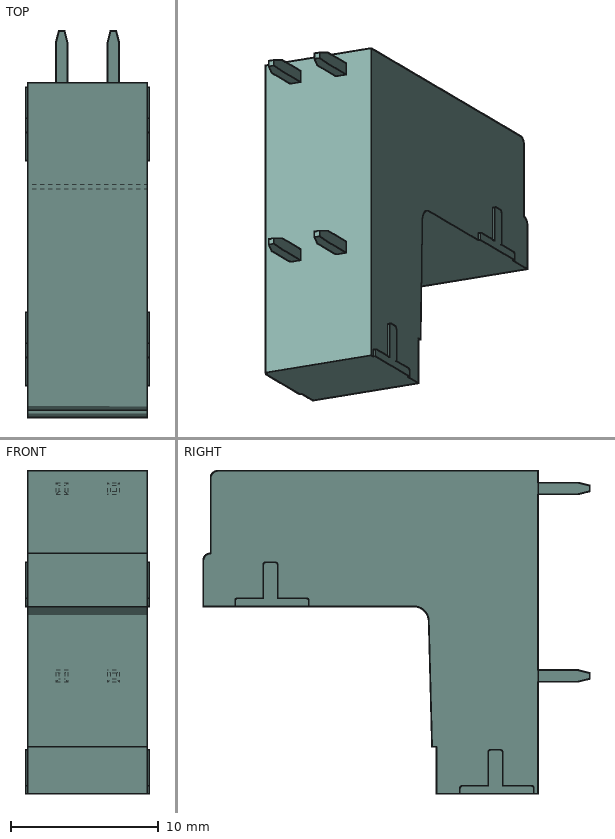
import cadquery as cq
import math

body_width = 8.1
body_height = 21.9
body_depth = 22.7
arm_underside = 12.7
lip_step = 0.5
lip_top = 16.3
top_edge_radius = 0.5
inner_corner_radius = 1.0

leg_foot_depth = 6.9
leg_foot_height = 3.2
leg_draft_depth = 7.2
leg_draft_angle = 1.5

pad_thickness = 0.15
pad_foot_width = 5.0
pad_foot_height = 0.55
pad_stem_width = 1.0
pad_stem_offset = 0.1
pad_height = 3.0
pad_foot_radius = 0.15
pad_stem_radius = 0.2
leg_pad_center = 2.8
pad_spacing = 15.24
pad_positions = [
    (leg_pad_center, 0),
    (leg_pad_center + pad_spacing, arm_underside),
]

pin_size = 0.8
pin_length = 3.5
pin_tip_length = 0.8
pin_tip_size = 0.4
pin_pitch_x = 3.5
lower_pin_height = 8.0
pin_row_spacing = 12.7


def make_housing():
    draft_run = (arm_underside - leg_foot_height) * math.tan(math.radians(leg_draft_angle))
    inner_corner_depth = leg_draft_depth + draft_run
    arm_depth = body_depth - lip_step
    outline = [
        (0, 0),
        (0, body_height),
        (-arm_depth, body_height),
        (-arm_depth, lip_top),
        (-body_depth, lip_top),
        (-body_depth, arm_underside),
        (-inner_corner_depth, arm_underside),
        (-leg_draft_depth, leg_foot_height),
        (-leg_foot_depth, leg_foot_height),
        (-leg_foot_depth, 0),
    ]
    housing = cq.Workplane("YZ").polyline(outline).close().extrude(body_width / 2, both=True)

    def round_edge(solid, depth, height, radius):
        edge = solid.edges(cq.selectors.NearestToPointSelector((0, -depth, height)))
        return edge.fillet(radius)

    housing = round_edge(housing, arm_depth, body_height, top_edge_radius)
    housing = round_edge(housing, inner_corner_depth, arm_underside, inner_corner_radius)

    lip_corner = (
        cq.Workplane("YZ")
        .moveTo(-arm_depth, lip_top)
        .lineTo(-body_depth, lip_top)
        .lineTo(-body_depth, lip_top - lip_step)
        .radiusArc((-arm_depth, lip_top), lip_step)
        .close()
        .extrude(body_width / 2, both=True)
    )
    return housing.cut(lip_corner)


def make_pads(distance_from_back, base_height):
    """One T running through the housing, so that it stands out on both sides."""
    half_span = body_width / 2 + pad_thickness

    def round_topped_bar(center_y, width, height, radius):
        return (
            cq.Workplane("YZ", origin=(0, center_y, base_height))
            .rect(width, 2 * height)
            .extrude(half_span, both=True)
            .edges("|X and >Z")
            .fillet(radius)
            .intersect(
                cq.Workplane("XY", origin=(0, center_y, base_height))
                .rect(2 * half_span, width)
                .extrude(height)
            )
        )

    foot = round_topped_bar(-distance_from_back, pad_foot_width, pad_foot_height, pad_foot_radius)
    stem_center_y = -distance_from_back - pad_stem_offset
    stem = round_topped_bar(stem_center_y, pad_stem_width, pad_height, pad_stem_radius)
    return foot.union(stem)


def make_pin(x, z):
    shaft_length = pin_length - pin_tip_length
    shaft = cq.Workplane("XZ", origin=(x, 0, z)).rect(pin_size, pin_size).extrude(-shaft_length)
    tip = (
        cq.Workplane("XZ", origin=(x, shaft_length, z))
        .rect(pin_size, pin_size)
        .workplane(offset=-pin_tip_length)
        .rect(pin_tip_size, pin_tip_size)
        .loft()
    )
    return shaft.union(tip)


result = make_housing()

for pad_distance, pad_base in pad_positions:
    result = result.union(make_pads(pad_distance, pad_base))

for pin_x in (-pin_pitch_x / 2, pin_pitch_x / 2):
    for pin_z in (lower_pin_height, lower_pin_height + pin_row_spacing):
        result = result.union(make_pin(pin_x, pin_z))